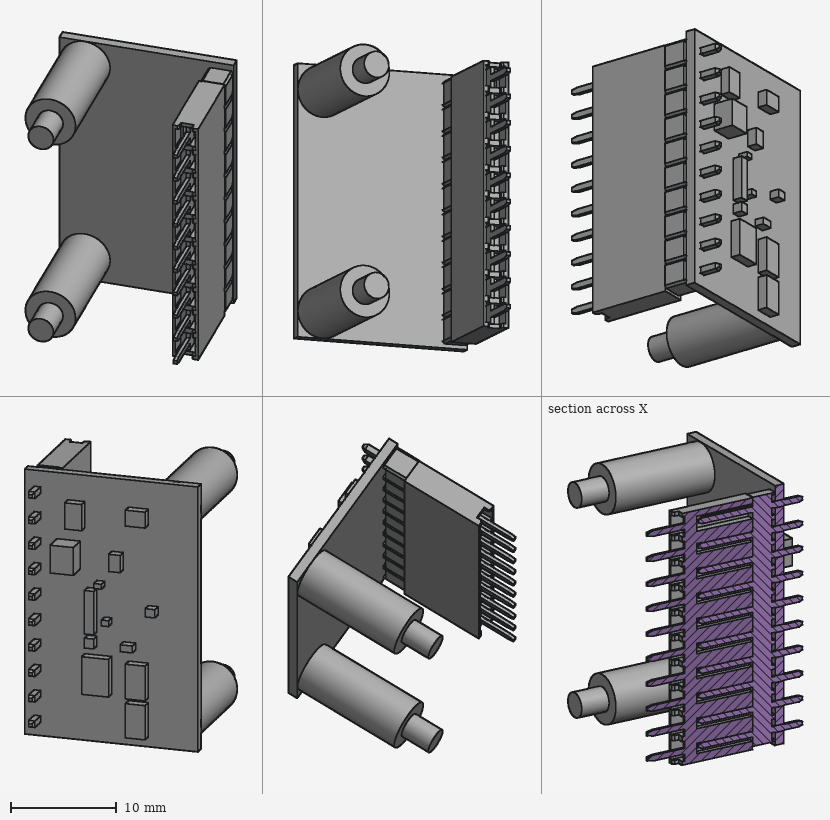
import cadquery as cq


board_width = 17.28
board_height = 26.42
board_thickness = 1.0

standoff_diameter = 5.0
standoff_length = 11.0
stud_diameter = 2.5
stud_length = 3.05
standoff_inset = 2.54
standoff_z = board_height / 2 - standoff_inset

contact_count = 10
pitch = 2.54
row_span = (contact_count - 1) * pitch
pin_size = 0.63

header_width = 2.54
header_depth = 2.48
header_x = board_width - header_width / 2
header_pin_top_z = 11.28
notch_size = 0.25
channel_depth = 0.3
channel_height = pitch - 2 * notch_size
pin_rear_length = 2.1
pin_mating_length = 6.0
pin_tip_size = 0.32
pin_taper = 0.4

socket_width = 2.54
socket_height = 25.63
socket_depth = 8.45
socket_front_y = -header_depth - socket_depth
socket_x = 15.9
socket_tail_top_z = 11.1
groove_width = 1.25
groove_depth = 0.63
groove_chamfer = 0.18
cell_size = 2.0
cell_depth = 1.7
slot_width = 0.9
slot_depth = 0.58
slim_passage_height = 1.0
first_passage_size = 1.48
tail_thickness = 0.37
tail_recess = 0.9
tail_tip_y = -14.15
tail_tip_height = 0.35
tail_taper = 0.63

low_height = 0.98
low_components = [
    (11.28, 12.97, 7.98, 10.6),
    (4.95, 6.92, 8.9, 10.5),
    (7.42, 8.59, 4.2, 5.92),
    (9.3, 10.07, 2.35, 2.85),
    (10.07, 11.0, -2.27, 2.05),
    (3.95, 4.95, 0.05, 0.87),
    (8.59, 9.3, -1.3, -0.71),
    (10.07, 11.0, -3.67, -2.7),
    (6.2, 7.42, -3.67, -2.99),
    (8.59, 11.28, -8.32, -4.57),
    (4.95, 6.92, -8.32, -4.85),
    (4.95, 6.92, -12.2, -8.8),
]
tall_height = 2.1
tall_component = (11.73, 14.05, 3.83, 6.6)


def box_between(x_range, y_range, z_range):
    """Box given by its two limits along each axis."""
    size = [high - low for low, high in (x_range, y_range, z_range)]
    corner = cq.Vector(x_range[0], y_range[0], z_range[0])
    return cq.Workplane("XY").box(*size, centered=False).translate(corner)


def bar_along_y(x, z, width, height, y_front, y_back):
    """Rectangular bar centred on (x, z) that runs from y_front back to y_back."""
    return box_between(
        (x - width / 2, x + width / 2),
        (y_front, y_back),
        (z - height / 2, z + height / 2),
    )


def row_positions(top_z):
    """Heights of the contacts, from the top one down."""
    return [top_z - index * pitch for index in range(contact_count)]


def make_component(outline, height):
    left, right, bottom, top = outline
    return box_between((left, right), (board_thickness, board_thickness + height), (bottom, top))


def make_board():
    """Board with its components and a square hole for each header pin."""
    half_height = board_height / 2
    board = box_between((0, board_width), (0, board_thickness), (-half_height, half_height))
    for outline in low_components:
        board = board.union(make_component(outline, low_height))
    board = board.union(make_component(tall_component, tall_height))
    for z in row_positions(header_pin_top_z):
        board = board.cut(bar_along_y(header_x, z, pin_size, pin_size, 0, board_thickness))
    return board


def make_standoff(z):
    """Round post with a thinner stud at its free end."""
    return (
        cq.Workplane("XZ", origin=(standoff_inset, 0, z))
        .circle(standoff_diameter / 2)
        .extrude(standoff_length)
        .faces("<Y")
        .workplane()
        .circle(stud_diameter / 2)
        .extrude(stud_length)
    )


def make_pin_tip(z, start_y, end_y):
    """Taper from the full pin section at start_y to the tip section at end_y."""
    return (
        cq.Workplane("XZ", origin=(header_x, start_y, z))
        .rect(pin_size, pin_size)
        .workplane(offset=start_y - end_y)
        .rect(pin_tip_size, pin_tip_size)
        .loft(ruled=True)
    )


def make_header_pin(z):
    """Square pin through the header, tapered at both ends."""
    rear_y = board_thickness + pin_rear_length
    front_y = -header_depth - pin_mating_length
    rear_shank_y = rear_y - pin_taper
    front_shank_y = front_y + pin_taper
    shank = bar_along_y(header_x, z, pin_size, pin_size, front_shank_y, rear_shank_y)
    return (
        shank
        .union(make_pin_tip(z, rear_shank_y, rear_y))
        .union(make_pin_tip(z, front_shank_y, front_y))
    )


def make_header():
    """Strip of corner-cut blocks, each with a cross channel at the board and a pin."""
    header = None
    for z in row_positions(header_pin_top_z):
        block = bar_along_y(header_x, z, header_width, pitch, -header_depth, 0)
        block = block.edges("|Y").chamfer(notch_size)
        block = block.cut(
            bar_along_y(header_x, z, header_width, channel_height, -channel_depth, 0)
        )
        block = block.union(make_header_pin(z))
        header = block if header is None else header.union(block)
    return header


def make_groove():
    """Groove along the socket's front face, with chamfered lips."""
    half_floor = groove_width / 2
    half_mouth = half_floor + groove_chamfer
    floor_y = socket_front_y + groove_depth
    lip_y = socket_front_y + groove_chamfer
    return (
        cq.Workplane("XY", origin=(socket_x, 0, -board_height / 2))
        .polyline([
            (-half_mouth, socket_front_y),
            (half_mouth, socket_front_y),
            (half_floor, lip_y),
            (half_floor, floor_y),
            (-half_floor, floor_y),
            (-half_floor, lip_y),
        ])
        .close()
        .extrude(board_height)
    )


def make_tail(z):
    """Flat contact set in its slot, with a solder tail tapered at the tip."""
    plate_front = socket_front_y + tail_recess
    slot_floor_y = socket_front_y + cell_depth + slot_depth
    plate = bar_along_y(socket_x, z, tail_thickness, cell_size, plate_front, slot_floor_y)
    half_height = pin_size / 2
    half_tip = tail_tip_height / 2
    taper_y = tail_tip_y + tail_taper
    blade = (
        cq.Workplane("YZ", origin=(socket_x - tail_thickness / 2, 0, z))
        .polyline([
            (plate_front, -half_height),
            (plate_front, half_height),
            (taper_y, half_height),
            (tail_tip_y, half_tip),
            (tail_tip_y, -half_tip),
            (taper_y, -half_height),
        ])
        .close()
        .extrude(tail_thickness)
    )
    return plate.union(blade)


def make_socket():
    """Sleeve with a front groove, a cell per contact and passages for the header pins."""
    row_middle_z = socket_tail_top_z - row_span / 2
    cell_floor_y = socket_front_y + cell_depth
    slot_floor_y = cell_floor_y + slot_depth
    socket = bar_along_y(
        socket_x, row_middle_z, socket_width, socket_height, socket_front_y, -header_depth
    )
    socket = socket.cut(make_groove())
    for index, z in enumerate(row_positions(socket_tail_top_z)):
        if index == 0:
            passage_width, passage_height = first_passage_size, first_passage_size
        else:
            passage_width, passage_height = slot_width, slim_passage_height
        cell = bar_along_y(socket_x, z, cell_size, cell_size, socket_front_y, cell_floor_y)
        slot = bar_along_y(socket_x, z, slot_width, cell_size, cell_floor_y, slot_floor_y)
        passage = bar_along_y(
            socket_x, z, passage_width, passage_height, cell_floor_y, -header_depth
        )
        socket = socket.cut(cell).cut(slot).cut(passage).union(make_tail(z))
    return socket


board = make_board()
standoffs = [make_standoff(z) for z in (-standoff_z, standoff_z)]
header = make_header()
socket = make_socket()

result = cq.Compound.makeCompound([
    board.solids().val(),
    *[standoff.val() for standoff in standoffs],
    header.solids().val(),
    socket.solids().val(),
])